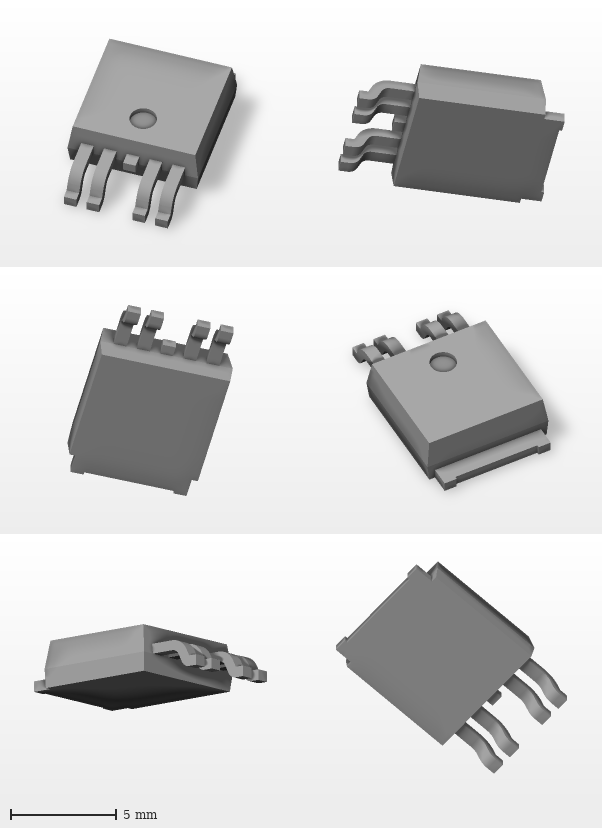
import cadquery as cq
import math

overall_length = 9.9
body_width = 6.5
body_length = 6.22
body_height = 2.3
parting_height = 0.91
top_inset = 0.2
bottom_inset = 0.1

mark_diameter = 1.31
mark_from_front = 1.66
mark_depth = 0.3

tab_width = 5.7
tab_reach = 0.99
tab_thickness = 0.51
notch_width = 4.41
notch_depth = 0.14

lead_width = 0.62
lead_pitch = 1.14
lead_thickness = 0.49
lead_reach = overall_length - body_length - tab_reach
lead_root = 0.495
lead_slots = (-2, -1, 1, 2)
stub_reach = 0.53

foot_length = 0.44
foot_thickness = 0.51
shoulder_radius = 1.0
slope_angle = math.radians(63)


def box(width, y_min, y_max, z_min, z_max):
    """Box centred across the width."""
    return (
        cq.Workplane("XY")
        .box(width, y_max - y_min, z_max - z_min, centered=(True, False, False))
        .translate((0, y_min, z_min))
    )


def body_half(end_height, inset, back_inset):
    """Drafted half of the body, from the parting plane to end_height."""
    end_width = body_width - 2 * inset
    end_length = body_length - inset - back_inset
    end_center = (inset + body_length - back_inset) / 2
    end_shift = end_center - body_length / 2
    return (
        cq.Workplane("XY", origin=(0, body_length / 2, parting_height))
        .rect(body_width, body_length)
        .workplane(offset=end_height - parting_height)
        .center(0, end_shift)
        .rect(end_width, end_length)
        .loft(ruled=True)
    )


def make_body():
    upper = body_half(body_height, top_inset, top_inset)
    lower = body_half(0, bottom_inset, 0)
    mark = (
        cq.Workplane("XY", origin=(0, mark_from_front, body_height - mark_depth))
        .circle(mark_diameter / 2)
        .extrude(mark_depth)
    )
    return upper.union(lower).cut(mark)


def make_tab():
    tab_end = body_length + tab_reach
    tab = box(tab_width, body_length / 2, tab_end, 0, tab_thickness)
    return tab.cut(box(notch_width, tab_end - notch_depth, tab_end, 0, tab_thickness))


def point_on_arc(center, radius, angle):
    """Point at an angle measured from straight up towards the lead tip (-Y)."""
    y, z = center
    return (y - radius * math.sin(angle), z + radius * math.cos(angle))


def make_lead(x):
    lead_top = parting_height + lead_thickness
    tip = -lead_reach
    heel = tip + foot_length

    slope_drop = lead_top - shoulder_radius * (1 - math.cos(slope_angle)) - foot_thickness
    slope_run = slope_drop / math.tan(slope_angle)
    bend_start = heel + slope_run + shoulder_radius * math.sin(slope_angle)
    shoulder_center = (bend_start, lead_top - shoulder_radius)

    radius_step = (foot_thickness - lead_thickness * math.cos(slope_angle)) / (1 - math.cos(slope_angle))
    inner_radius = shoulder_radius - radius_step
    inner_center = (bend_start, parting_height - inner_radius)
    heel_center = (heel, foot_thickness)
    heel_angle = slope_angle + math.pi

    profile = (
        cq.Workplane("YZ")
        .moveTo(lead_root, lead_top)
        .lineTo(bend_start, lead_top)
        .threePointArc(
            point_on_arc(shoulder_center, shoulder_radius, slope_angle / 2),
            point_on_arc(shoulder_center, shoulder_radius, slope_angle),
        )
        .lineTo(heel, foot_thickness)
        .lineTo(tip, foot_thickness)
        .lineTo(tip, 0)
        .lineTo(heel, 0)
        .threePointArc(
            point_on_arc(heel_center, foot_thickness, math.pi + slope_angle / 2),
            point_on_arc(heel_center, foot_thickness, heel_angle),
        )
        .lineTo(*point_on_arc(inner_center, inner_radius, slope_angle))
        .threePointArc(
            point_on_arc(inner_center, inner_radius, slope_angle / 2),
            (bend_start, parting_height),
        )
        .lineTo(lead_root, parting_height)
        .close()
    )
    return profile.extrude(lead_width / 2, both=True).translate((x, 0, 0))


def make_stub():
    return box(lead_width, -stub_reach, lead_root, parting_height, parting_height + lead_thickness)


result = make_body().union(make_tab()).union(make_stub())
for slot in lead_slots:
    result = result.union(make_lead(slot * lead_pitch))